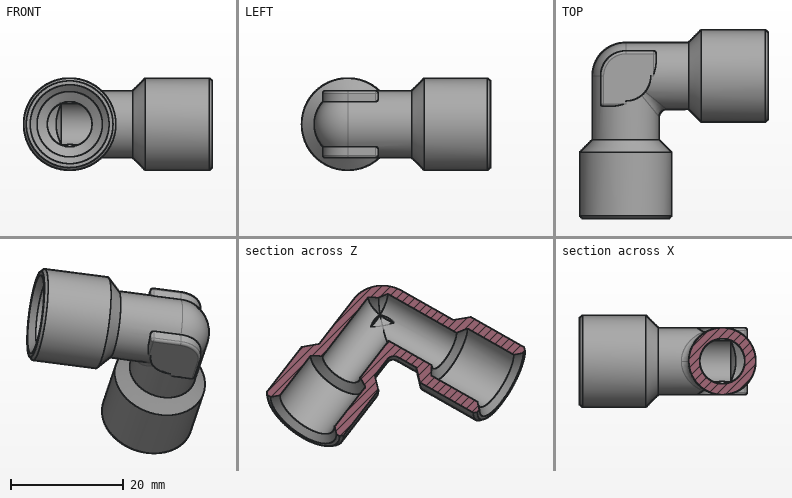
import cadquery as cq
import math

overall_length = 33.75
collar_diameter = 16.5
leg_radius = 6.0
x_cone_start = 11.25
y_cone_start = 11.4
rim_bevel_length = 0.55
rim_bevel_depth = 0.5
crotch_radius = 1.35

bore_diameter = 8.0
bore_overrun = 1.5
socket_radius = 5.85
socket_mouth_radius = 7.05
mouth_chamfer_length = 1.2
socket_depth = 11.15
drill_point_angle = 118.0

pad_radius = 4.5
pad_end = 5.45
pad_rounding = 0.5

collar_radius = collar_diameter / 2
bore_radius = bore_diameter / 2
leg_length = overall_length - collar_radius
cone_length = collar_radius - leg_radius
drill_slope = 1 / math.tan(math.radians(drill_point_angle / 2))
bore_tip = -bore_overrun - bore_radius * drill_slope
socket_floor = leg_length - socket_depth
socket_cone_end = socket_floor - (socket_radius - bore_radius) * drill_slope


def turned_about_x(profile):
    """Revolve an (x, radius) profile about the X axis."""
    return cq.Workplane("XY").polyline(profile).close().revolve(360, (0, 0, 0), (1, 0, 0))


def other_leg(shape):
    """Turn a shape from the +X leg onto the -Y leg."""
    return shape.rotate((0, 0, 0), (0, 0, 1), -90)


def make_stem(length):
    return turned_about_x([(0, 0), (0, leg_radius), (length, leg_radius), (length, 0)])


def make_collar(cone_start):
    return turned_about_x([
        (cone_start, 0),
        (cone_start, leg_radius),
        (cone_start + cone_length, collar_radius),
        (leg_length - rim_bevel_length, collar_radius),
        (leg_length, collar_radius - rim_bevel_depth),
        (leg_length, 0),
    ])


def make_bore():
    return turned_about_x([
        (bore_tip, 0),
        (-bore_overrun, bore_radius),
        (socket_cone_end, bore_radius),
        (socket_floor, socket_radius),
        (leg_length - mouth_chamfer_length, socket_radius),
        (leg_length, socket_mouth_radius),
        (leg_length, 0),
    ])


def make_elbow():
    """Two round stems joined by a ball, with the inner crease rounded."""
    x_stem = make_stem(x_cone_start)
    y_stem = other_leg(make_stem(y_cone_start))
    crease = cq.selectors.BoxSelector((0.35, -leg_radius, -leg_radius), (leg_radius, -0.35, leg_radius))
    stems = x_stem.union(y_stem)
    stems = stems.edges(crease).fillet(crotch_radius)
    return stems.union(cq.Workplane("XY").sphere(leg_radius))


def make_pad():
    """Upper pad: concentric outer and inner corner arcs with two square free ends."""
    arc_mid = pad_radius * math.sqrt(0.5)
    base = (
        cq.Workplane("XY")
        .moveTo(-pad_radius, -pad_end)
        .lineTo(-pad_radius, 0)
        .threePointArc((-arc_mid, arc_mid), (0, pad_radius))
        .lineTo(pad_end, pad_radius)
        .lineTo(pad_end, 0)
        .lineTo(pad_radius, 0)
        .threePointArc((arc_mid, -arc_mid), (0, -pad_radius))
        .lineTo(0, -pad_end)
        .close()
        .extrude(leg_radius)
    )
    end_corners = [(-pad_radius, -pad_end), (pad_end, pad_radius)]
    for x, y in end_corners:
        corner = cq.selectors.NearestToPointSelector((x, y, leg_radius / 2))
        base = base.edges("|Z").edges(corner).fillet(pad_rounding)
    outer_side = cq.selectors.NearestToPointSelector((-arc_mid, arc_mid, leg_radius))
    return base.edges(">Z").edges(outer_side).fillet(pad_rounding)


pad = make_pad()
x_collar = make_collar(x_cone_start)
y_collar = other_leg(make_collar(y_cone_start))
bore = make_bore()

body = make_elbow().union(pad).union(pad.mirror("XY"))
body = body.union(x_collar).union(y_collar)
result = body.cut(bore).cut(other_leg(bore))